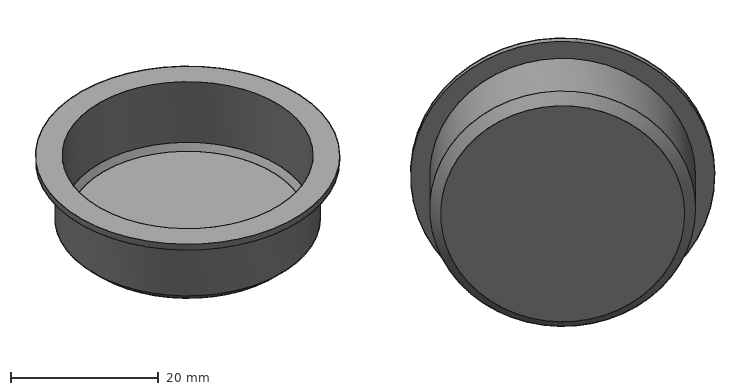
import cadquery as cq

flange_diameter = 41.2
total_height = 12.0
flange_thickness = 1.0

cup_diameter = 36.0
bore_diameter = 34.0
floor_thickness = 1.0
outer_chamfer = 1.5
inner_chamfer = 0.85


def make_cup_body():
    """Solid cup with a bevelled bottom edge, standing on Z = 0."""
    body = cq.Workplane("XY").circle(cup_diameter / 2).extrude(total_height)
    return body.faces("<Z").edges().chamfer(outer_chamfer)


def make_flange():
    """Thin disc flush with the top of the cup."""
    flange_bottom = total_height - flange_thickness
    flange = cq.Workplane("XY").workplane(offset=flange_bottom)
    return flange.circle(flange_diameter / 2).extrude(flange_thickness)


def make_cavity():
    """Open-topped hollow whose floor edge is bevelled like the outside."""
    cavity_depth = total_height - floor_thickness
    cavity = cq.Workplane("XY").workplane(offset=floor_thickness)
    cavity = cavity.circle(bore_diameter / 2).extrude(cavity_depth)
    return cavity.faces("<Z").edges().chamfer(inner_chamfer)


result = make_cup_body().union(make_flange()).cut(make_cavity())